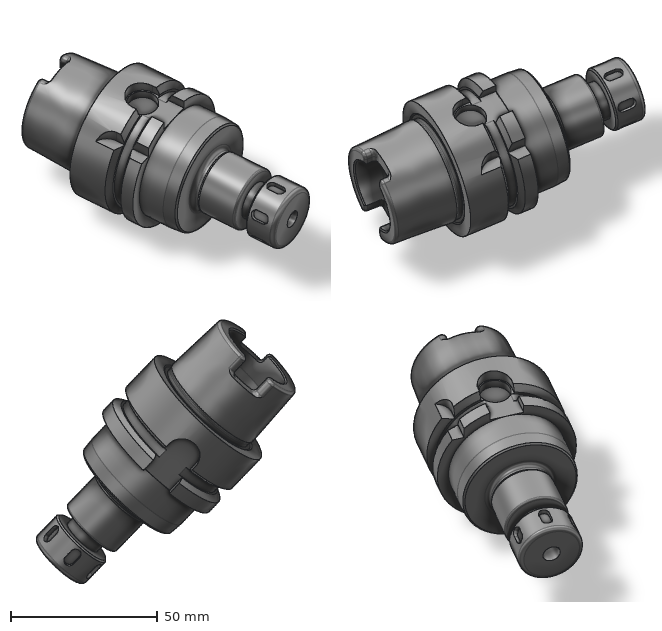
import cadquery as cq
import math


shank_length = 25.1
shank_radius = 19.0
taper_per_length = 0.05
shank_end_fillet = 1.0
relief_start = 2.2
relief_radius = 18.7
relief_ramp_length = 0.7
relief_undercut = 0.1
undercut_start = 0.9
recess_radius = 20.5
recess_depth = 0.3
recess_floor_radius = 19.9

flange_radius = 25.0
flange_end = 26.0
groove_start = 16.0
groove_end = 19.5
groove_radius = 21.5
groove_bevel = 1.5
bevel_drop = groove_bevel * math.tan(math.radians(60))

collar_radius = 21.0
collar_straight_end = 35.8
collar_end = 41.0
collar_tip_radius = 20.6
collar_chamfer = 0.6
neck_radius = 11.3
neck_fillet = 1.6
nose_radius = 11.5
neck_end = 43.6
nose_start = 44.2
nose_end = 58.8
nose_fillet = 0.7
stem_radius = 7.0

nut_start = 63.3
nut_end = 74.9
nut_radius = 11.5
nut_chamfer = 0.6
nut_fillet = 1.5
nut_slot_count = 6
nut_slot_length = 6.8
nut_slot_width = 3.7
nut_slot_center = 68.2
nut_slot_floor = 9.7

clamp_bore_radius = 13.0
clamp_bore_depth = 21.0
clamp_bore_cone_start = 10.0
clamp_bore_chamfer = 0.5
floor_radius = 12.0
tube_bore_radius = 7.5
tube_bore_depth = 30.0
tube_bore_chamfer = 0.6
seat_radius = 5.0
seat_tip_radius = 4.3
seat_depth = 31.0
through_radius = 3.1

keyway_width = 10.3
keyway_corner = 1.5
keyway_edge_radius = 1.9
top_keyway_depth = 4.3
bottom_keyway_depth = 7.4

flange_slot_width = 12.1
flange_slot_center = 13.0
flange_slot_floor = 21.0
chip_hole_radius = 5.5
chip_hole_depth = 3.0
notch_center = 12.8
notch_cutter_radius = 6.0
notch_wall = 15.4
notch_floor = 15.5


def shank_radius_at(distance):
    """Taper radius at a distance from the flange face."""
    return shank_radius + taper_per_length * (relief_start - distance)


def make_body():
    outline = (
        cq.Workplane("XY")
        .moveTo(-shank_length, 0)
        .lineTo(-shank_length, shank_radius_at(shank_length))
        .lineTo(-relief_start, shank_radius)
        .lineTo(-relief_start + relief_ramp_length, relief_radius)
        .lineTo(-undercut_start, relief_radius - relief_undercut)
        .lineTo(recess_depth, relief_radius - relief_undercut)
        .lineTo(recess_depth, recess_floor_radius)
        .lineTo(0, recess_radius)
        .lineTo(0, flange_radius)
        .lineTo(groove_start - groove_bevel, flange_radius)
        .lineTo(groove_start, flange_radius - bevel_drop)
        .lineTo(groove_start, groove_radius)
        .lineTo(groove_end, groove_radius)
        .lineTo(groove_end, flange_radius - bevel_drop)
        .lineTo(groove_end + groove_bevel, flange_radius)
        .lineTo(flange_end, flange_radius)
        .lineTo(flange_end, collar_radius)
        .lineTo(collar_straight_end, collar_radius)
        .lineTo(collar_end - collar_chamfer, collar_tip_radius)
        .lineTo(collar_end, collar_tip_radius - collar_chamfer)
        .lineTo(collar_end, neck_radius + neck_fillet)
        .radiusArc((collar_end + neck_fillet, neck_radius), -neck_fillet)
        .lineTo(neck_end, neck_radius)
        .lineTo(nose_start, nose_radius)
        .lineTo(nose_end - nose_fillet, nose_radius)
        .radiusArc((nose_end, nose_radius - nose_fillet), nose_fillet)
        .lineTo(nose_end, stem_radius)
        .lineTo(nut_start, stem_radius)
        .lineTo(nut_start, nut_radius - nut_chamfer)
        .lineTo(nut_start + nut_chamfer, nut_radius)
        .lineTo(nut_end - nut_fillet, nut_radius)
        .radiusArc((nut_end, nut_radius - nut_fillet), nut_fillet)
        .lineTo(nut_end, 0)
        .close()
    )
    return outline.revolve(360, (0, 0, 0), (1, 0, 0))


def make_bores():
    outline = (
        cq.Workplane("XY")
        .moveTo(0, 0)
        .lineTo(0, clamp_bore_radius + clamp_bore_chamfer)
        .lineTo(clamp_bore_chamfer, clamp_bore_radius)
        .lineTo(clamp_bore_cone_start, clamp_bore_radius)
        .lineTo(clamp_bore_depth, floor_radius)
        .lineTo(clamp_bore_depth, tube_bore_radius + tube_bore_chamfer)
        .lineTo(clamp_bore_depth + tube_bore_chamfer, tube_bore_radius)
        .lineTo(tube_bore_depth, tube_bore_radius)
        .lineTo(tube_bore_depth, seat_radius)
        .lineTo(seat_depth, seat_tip_radius)
        .lineTo(seat_depth, through_radius)
        .lineTo(shank_length + nut_end, through_radius)
        .lineTo(shank_length + nut_end, 0)
        .close()
    )
    bores = outline.revolve(360, (0, 0, 0), (1, 0, 0))
    return bores.translate((-shank_length, 0, 0))


def make_shank_keyway(depth, side):
    """Keyway open at the shank end; side is +1 for the top and -1 for the bottom."""
    keyway = cq.Workplane("XY").box(
        2 * depth, keyway_width, flange_radius, centered=(True, True, False)
    )
    if side < 0:
        keyway = keyway.mirror("XY")
    return keyway.translate((-shank_length, 0, 0))


def round_shank_edges(body):
    """Round the keyway mouths, the keyway floor corners and the rim of the shank end."""
    body = body.edges("%HYPERBOLA").fillet(keyway_edge_radius)
    body = body.edges("|Z").edges("not <X").fillet(keyway_corner)
    return body.faces("<X").edges().fillet(shank_end_fillet)


def make_flange_slot():
    length = flange_end - flange_slot_center
    height = flange_radius - flange_slot_floor
    slot = cq.Workplane("XY").box(
        length, flange_slot_width, height, centered=(False, True, False)
    )
    round_end = cq.Workplane("XY").circle(flange_slot_width / 2).extrude(height)
    return slot.union(round_end).translate((flange_slot_center, 0, flange_slot_floor))


def make_chip_hole():
    return (
        cq.Workplane("XY", origin=(flange_slot_center, 0, flange_slot_floor))
        .circle(chip_hole_radius)
        .extrude(-chip_hole_depth)
    )


def make_notch():
    """Path of an upright round cutter that runs out through the flange end."""
    width = 2 * notch_cutter_radius
    height = flange_radius - notch_floor
    path = cq.Workplane("XY").box(
        flange_end - notch_center, width, height, centered=(False, True, False)
    )
    round_end = cq.Workplane("XY").circle(notch_cutter_radius).extrude(height)
    return path.union(round_end).translate(
        (notch_center, -notch_wall - notch_cutter_radius, notch_floor)
    )


def make_nut_slot():
    return (
        cq.Workplane("XY", origin=(nut_slot_center, 0, nut_slot_floor))
        .slot2D(nut_slot_length, nut_slot_width)
        .extrude(nut_radius - nut_slot_floor)
    )


result = make_body()
result = result.cut(make_shank_keyway(top_keyway_depth, 1))
result = result.cut(make_shank_keyway(bottom_keyway_depth, -1))
result = round_shank_edges(result)
result = result.cut(make_bores())
flange_slot = make_flange_slot()
result = result.cut(flange_slot).cut(flange_slot.mirror("XY"))
result = result.cut(make_chip_hole()).cut(make_notch())
nut_slot = make_nut_slot()
for index in range(nut_slot_count):
    turn = index * 360 / nut_slot_count
    result = result.cut(nut_slot.rotate((0, 0, 0), (1, 0, 0), turn))